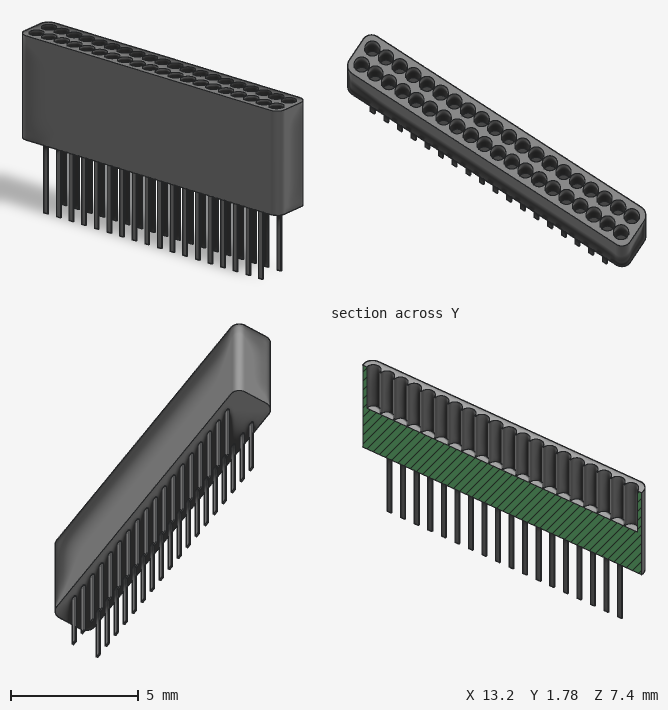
import cadquery as cq

length = 13.18
width = 1.78
total_height = 7.4
body_height = 4.4
corner_radius = 0.4

row_count = 2
socket_count = 20
socket_row_length = 12.17
contact_pitch = socket_row_length / (socket_count - 1)
socket_row_spacing = 0.76
socket_wall = 0.04
socket_diameter = contact_pitch - socket_wall
socket_depth = body_height / 2

pin_count = socket_count - 2
pin_row_spacing = 1.13
pin_width = 0.2
pin_thickness = 0.07
pin_length = total_height - body_height


def contact_grid(workplane, count, row_spacing):
    """Place points in two rows along X, centred on the housing."""
    return workplane.rarray(contact_pitch, row_spacing, count, row_count)


def make_housing():
    """Block standing on the XY plane, with rounded vertical edges."""
    block = cq.Workplane("XY").box(length, width, body_height, centered=(True, True, False))
    return block.edges("|Z").fillet(corner_radius)


def make_sockets():
    """Cylinders that cut the blind sockets."""
    top_plane = cq.Workplane("XY").workplane(offset=body_height)
    sockets = contact_grid(top_plane, socket_count, socket_row_spacing)
    return sockets.circle(socket_diameter / 2).extrude(-socket_depth)


def make_pins():
    """Rectangular leads hanging from the bottom face."""
    pins = contact_grid(cq.Workplane("XY"), pin_count, pin_row_spacing)
    return pins.rect(pin_width, pin_thickness).extrude(-pin_length)


result = make_housing().cut(make_sockets()).union(make_pins())